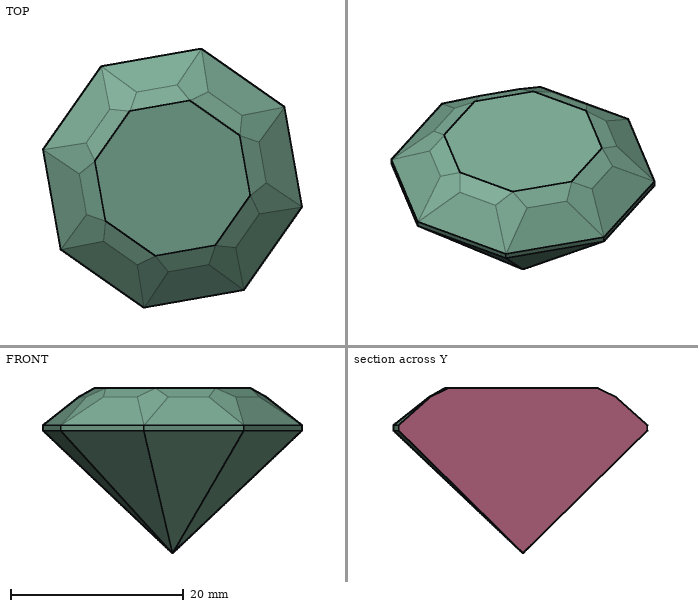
import cadquery as cq
import math

SIDES = 8
WIDTH = 30.13
HEIGHT = 19.25
CROWN_HEIGHT = 4.35
GIRDLE_THICKNESS = 0.63
TABLE_RADIUS = 9.25
BREAK_APOTHEM = 10.6
BREAK_LENGTH = 4.8
TWIST = 10.0

STEP = 360.0 / SIDES
FIRST_CORNER = STEP / 2 + TWIST
CORNER_OFF_AXIS = STEP / 2 - TWIST
GIRDLE_RADIUS = WIDTH / 2 / math.cos(math.radians(CORNER_OFF_AXIS))

TABLE_Z = HEIGHT
GIRDLE_TOP_Z = TABLE_Z - CROWN_HEIGHT
GIRDLE_BOTTOM_Z = GIRDLE_TOP_Z - GIRDLE_THICKNESS

BREAK_RADIUS = math.hypot(BREAK_APOTHEM, BREAK_LENGTH / 2)
BREAK_HALF_ANGLE = math.degrees(math.atan2(BREAK_LENGTH / 2, BREAK_APOTHEM))

KITE_RADIUS = BREAK_RADIUS * math.cos(math.radians(STEP / 2 - BREAK_HALF_ANGLE))
KITE_FRACTION = (GIRDLE_RADIUS - KITE_RADIUS) / (GIRDLE_RADIUS - TABLE_RADIUS)
BREAK_Z = GIRDLE_TOP_Z + KITE_FRACTION * CROWN_HEIGHT


def polar(radius, angle, z):
    """Point at a radius and angle (degrees) about the Z axis."""
    turn = math.radians(angle)
    return cq.Vector(radius * math.cos(turn), radius * math.sin(turn), z)


def corner_ring(radius, z):
    """Corners of one level octagon, counter-clockwise."""
    return [polar(radius, FIRST_CORNER + i * STEP, z) for i in range(SIDES)]


def facet(*points):
    """Flat face bounded by straight edges."""
    return cq.Face.makeFromWires(cq.Wire.makePolygon(points, close=True))


culet = cq.Vector(0, 0, 0)
lower = corner_ring(GIRDLE_RADIUS, GIRDLE_BOTTOM_Z)
upper = corner_ring(GIRDLE_RADIUS, GIRDLE_TOP_Z)
table = corner_ring(TABLE_RADIUS, TABLE_Z)

side_middles = [FIRST_CORNER + (i + 0.5) * STEP for i in range(SIDES)]
break_start = [polar(BREAK_RADIUS, a - BREAK_HALF_ANGLE, BREAK_Z) for a in side_middles]
break_end = [polar(BREAK_RADIUS, a + BREAK_HALF_ANGLE, BREAK_Z) for a in side_middles]

facets = [facet(*table)]
for i in range(SIDES):
    j = (i + 1) % SIDES
    facets.append(facet(culet, lower[j], lower[i]))
    facets.append(facet(lower[i], lower[j], upper[j], upper[i]))
    facets.append(facet(upper[i], upper[j], break_end[i], break_start[i]))
    facets.append(facet(break_start[i], break_end[i], table[j], table[i]))
    facets.append(facet(upper[j], break_start[j], table[j], break_end[i]))

result = cq.Workplane("XY").newObject([cq.Solid.makeSolid(cq.Shell.makeShell(facets))])